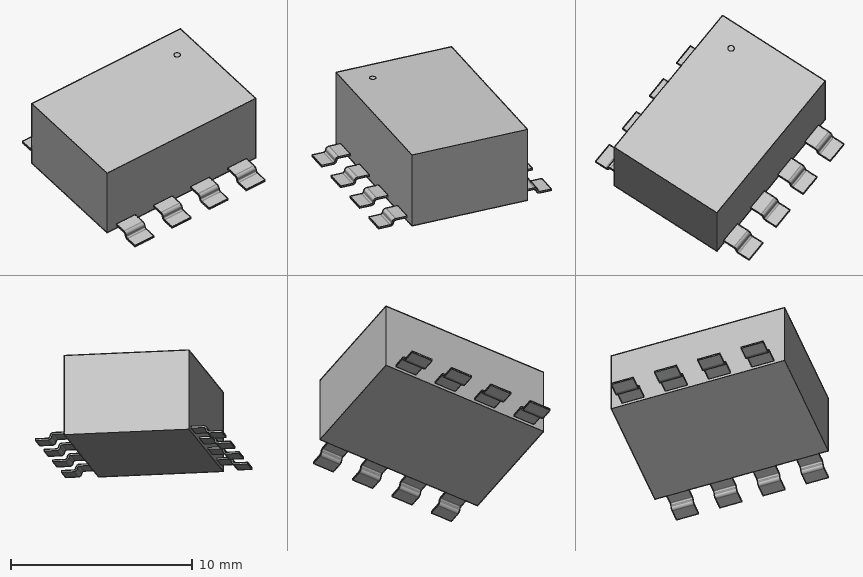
import cadquery as cq
import math

overall_length = 10.46
overall_height = 4.6

housing_length = 7.0
housing_width = 10.19
standoff = 0.1

lead_thickness = 0.1
lead_width = 1.3
lead_pitch = 2.54
leads_per_side = 4
foot_length = 0.7
shoulder_top = 0.42
bend_inner_radius = 0.1
bend_outer_radius = bend_inner_radius + lead_thickness
bend_angle = math.radians(75)

marker_diameter = 0.36
marker_depth = 0.1
marker_x = -1.9
marker_y = 3.69


def make_marker():
    """Disc whose upper face is level with the top of the housing."""
    return (
        cq.Workplane("XY", origin=(marker_x, marker_y, overall_height - marker_depth))
        .circle(marker_diameter / 2)
        .extrude(marker_depth)
    )


def make_housing(marker):
    """Plain block with a recess that holds the marker."""
    block = cq.Workplane("XY", origin=(0, 0, standoff)).box(
        housing_length, housing_width, overall_height - standoff, centered=(True, True, False)
    )
    return block.cut(marker)


def make_lead():
    """Lead on the +X side, centred on Y = 0: shoulder, bend, steep web, bend, foot."""
    root_x = housing_length / 2
    tip_x = overall_length / 2
    bend_sin = math.sin(bend_angle)
    bend_cos = math.cos(bend_angle)

    radius_sum = bend_inner_radius + bend_outer_radius
    lower_center_x = tip_x - foot_length
    lower_center_z = bend_outer_radius
    upper_center_z = shoulder_top - bend_outer_radius
    web_drop = upper_center_z - lower_center_z + radius_sum * bend_cos
    web_run = web_drop * bend_cos / bend_sin
    upper_center_x = lower_center_x - radius_sum * bend_sin - web_run

    def upper_bend_end(radius):
        return (upper_center_x + radius * bend_sin, upper_center_z + radius * bend_cos)

    def lower_bend_end(radius):
        return (lower_center_x - radius * bend_sin, lower_center_z - radius * bend_cos)

    shoulder_bottom = shoulder_top - lead_thickness
    profile = (
        cq.Workplane("XZ")
        .moveTo(root_x, shoulder_top)
        .lineTo(upper_center_x, shoulder_top)
        .tangentArcPoint(upper_bend_end(bend_outer_radius), relative=False)
        .lineTo(*lower_bend_end(bend_inner_radius))
        .tangentArcPoint((lower_center_x, lead_thickness), relative=False)
        .lineTo(tip_x, lead_thickness)
        .lineTo(tip_x, 0)
        .lineTo(lower_center_x, 0)
        .tangentArcPoint(lower_bend_end(bend_outer_radius), relative=False)
        .lineTo(*upper_bend_end(bend_inner_radius))
        .tangentArcPoint((upper_center_x, shoulder_bottom), relative=False)
        .lineTo(root_x, shoulder_bottom)
        .close()
    )
    return profile.extrude(lead_width / 2, both=True)


def make_leads():
    """Evenly pitched row of separate leads on each side of the housing."""
    right_lead = make_lead()
    left_lead = right_lead.mirror("YZ")
    first_y = -lead_pitch * (leads_per_side - 1) / 2
    row = []
    for index in range(leads_per_side):
        lead_y = first_y + index * lead_pitch
        for lead in (right_lead, left_lead):
            row.append(lead.translate((0, lead_y, 0)).val())
    return row


marker = make_marker()
housing = make_housing(marker)
leads = make_leads()

result = cq.Compound.makeCompound([housing.val(), marker.val(), *leads])